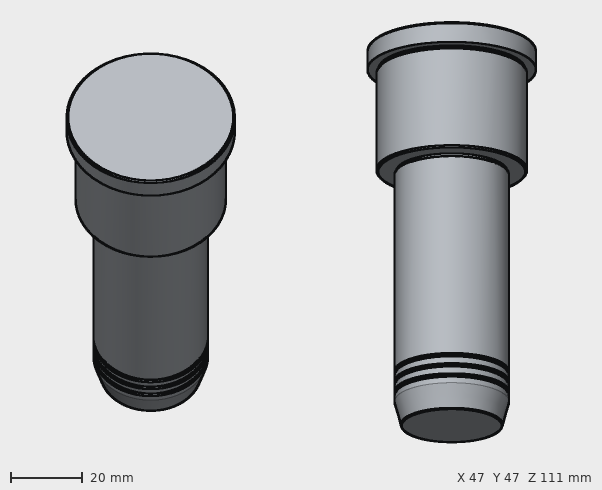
import cadquery as cq
import math

total_height = 111.0
head_diameter = 47.0
head_height = 6.0
collar_diameter = 42.0
collar_height = 30.1
shank_diameter = 32.0
edge_chamfer = 0.5

relief_depth = 0.5
head_relief_width = 0.5
collar_relief_width = 0.94

ring_groove_count = 3
ring_groove_pitch = 3.0
ring_groove_width = 1.0
ring_groove_straight = 0.39
ring_groove_depth = 0.4
first_ring_groove_bottom = 8.9

nose_height = 7.1
nose_taper_angle = 15.0
nose_tip_height = 0.3
nose_tip_chamfer = 0.2

head_radius = head_diameter / 2
collar_radius = collar_diameter / 2
shank_radius = shank_diameter / 2
head_bottom = total_height - head_height
collar_bottom = head_bottom - collar_height
collar_top = head_bottom - head_relief_width
shank_top = collar_bottom - collar_relief_width
nose_taper_height = nose_height - nose_tip_height
nose_tip_radius = shank_radius - nose_taper_height * math.tan(math.radians(nose_taper_angle))


def cylinder(radius, bottom, top):
    return cq.Workplane("XY").workplane(offset=bottom).circle(radius).extrude(top - bottom)


def cone(bottom_radius, top_radius, bottom, top):
    return (
        cq.Workplane("XY")
        .workplane(offset=bottom)
        .circle(bottom_radius)
        .workplane(offset=top - bottom)
        .circle(top_radius)
        .loft(ruled=True)
    )


def ring_groove(bottom):
    """Ring of material to remove from the shank, leaving a groove with a sloped lower side."""
    top = bottom + ring_groove_width
    floor_radius = shank_radius - ring_groove_depth
    return (
        cq.Workplane("XZ")
        .moveTo(shank_radius, bottom)
        .lineTo(floor_radius, top - ring_groove_straight)
        .lineTo(floor_radius, top)
        .lineTo(shank_radius, top)
        .close()
        .revolve(360, (0, 0, 0), (0, 1, 0))
    )


head = cylinder(head_radius, head_bottom, total_height).faces(">Z").chamfer(edge_chamfer)

collar = cylinder(collar_radius, collar_bottom, collar_top).faces("<Z or >Z").chamfer(edge_chamfer)
head_relief = cylinder(collar_radius - relief_depth, collar_top, head_bottom)

shank = cylinder(shank_radius, nose_height, shank_top)
for index in range(ring_groove_count):
    shank = shank.cut(ring_groove(first_ring_groove_bottom + index * ring_groove_pitch))
collar_relief = cylinder(shank_radius - relief_depth, shank_top, collar_bottom)

nose_taper = cone(nose_tip_radius, shank_radius, nose_tip_height, nose_height)
nose_tip = cone(nose_tip_radius - nose_tip_chamfer, nose_tip_radius, 0, nose_tip_height)

result = head
for section in (head_relief, collar, collar_relief, shank, nose_taper, nose_tip):
    result = result.union(section)